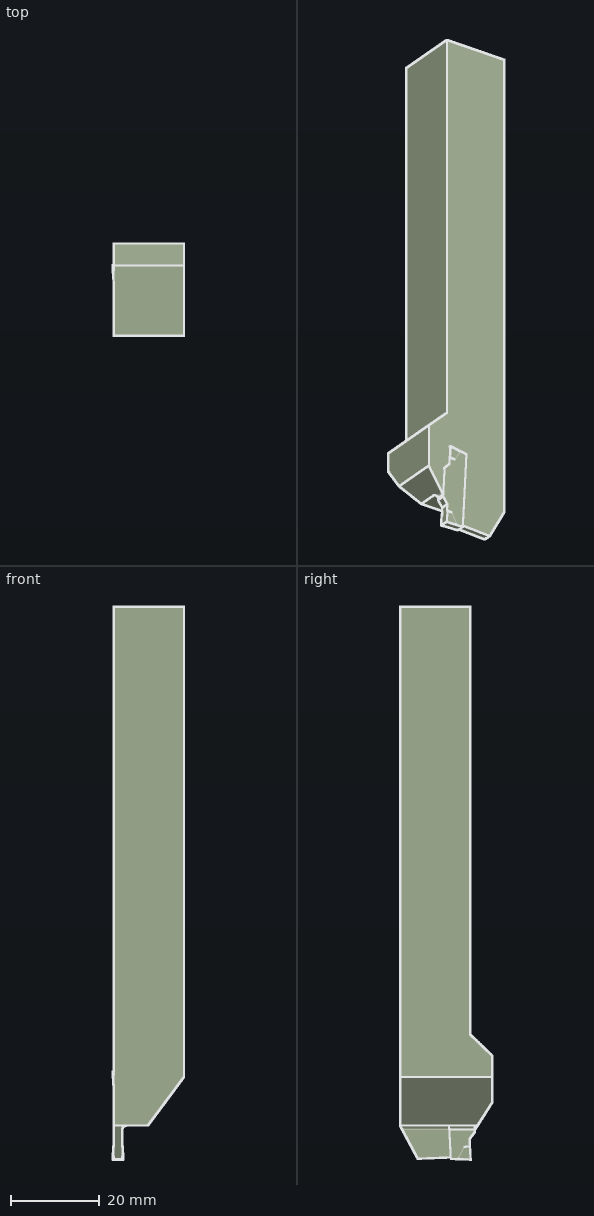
import cadquery as cq
import math

SHANK_SIZE = 15.92
TOTAL_LENGTH = 125.0
HEAD_DEPTH = 20.9
HEAD_SLOPE_TOP = 28.3
JAW_BACK_TOP = 23.5
JAW_BACK_BOTTOM = 13.0
JAW_TIP_Y = 17.2
JAW_TIP_Z = 7.2
SEAT_END_Y = 11.4
SEAT_END_Z = 0.5
FOOT_FRONT_Y = 4.0
FOOT_FRONT_Z = 0.2

BLADE_THICKNESS = 2.0
SHOULDER_Z = 7.7
SHOULDER_WIDTH = 7.75
SIDE_SLOPE_TOP = 18.7
BLADE_ROOT_RADIUS = 0.9

INSERT_TILT = 3.0
INSERT_TIP_Y = 16.0
INSERT_LENGTH = 20.0
INSERT_WIDTH = BLADE_THICKNESS
TIP_FLARE = 0.258
TIP_DEPTH = 4.5
CENTRE_RISE = 1.25
RAKE_LENGTH = 4.7
RISE_LENGTH = 1.5
END_CLEARANCE = 5.0
FLARE_LENGTH = 3.0
FLARE_DEPTH_FRONT = 3.0
FLARE_DEPTH_REAR = 1.3
TIP_CORNER_RADIUS = 0.2


def make_holder_blank():
    """Side outline of the holder across the full shank width, trimmed to leave the blade."""
    blank = (
        cq.Workplane("YZ")
        .moveTo(0, TOTAL_LENGTH)
        .lineTo(SHANK_SIZE, TOTAL_LENGTH)
        .lineTo(SHANK_SIZE, HEAD_SLOPE_TOP)
        .lineTo(HEAD_DEPTH, JAW_BACK_TOP)
        .lineTo(HEAD_DEPTH, JAW_BACK_BOTTOM)
        .lineTo(JAW_TIP_Y, JAW_TIP_Z)
        .lineTo(SEAT_END_Y, SEAT_END_Z)
        .lineTo(FOOT_FRONT_Y, FOOT_FRONT_Z)
        .lineTo(0, SHOULDER_Z)
        .close()
        .extrude(SHANK_SIZE)
    )
    root_end_x = BLADE_THICKNESS + BLADE_ROOT_RADIUS
    root_end_z = SHOULDER_Z - BLADE_ROOT_RADIUS
    front_outline = (
        cq.Workplane("XZ")
        .lineTo(BLADE_THICKNESS, 0)
        .lineTo(BLADE_THICKNESS, root_end_z)
        .radiusArc((root_end_x, SHOULDER_Z), BLADE_ROOT_RADIUS)
        .lineTo(SHOULDER_WIDTH, SHOULDER_Z)
        .lineTo(SHANK_SIZE, SIDE_SLOPE_TOP)
        .lineTo(SHANK_SIZE, TOTAL_LENGTH)
        .lineTo(0, TOTAL_LENGTH)
        .close()
        .extrude(-HEAD_DEPTH)
    )
    return blank.intersect(front_outline)


def make_tip_flare():
    """Wedge at the Z = 0 tip: widest at the cutting corner, tapering down and backward."""
    end_slope = math.tan(math.radians(END_CLEARANCE))
    rear_flare = TIP_FLARE * (FLARE_DEPTH_REAR / FLARE_DEPTH_FRONT)

    def section(flare, depth, height_at_rake, height_at_depth):
        points = [
            (-flare, 0, height_at_rake),
            (INSERT_WIDTH + flare, 0, height_at_rake),
            (INSERT_WIDTH, -depth, height_at_depth),
            (0, -depth, height_at_depth),
        ]
        return cq.Wire.makePolygon([cq.Vector(*p) for p in points], close=True)

    front = section(TIP_FLARE, FLARE_DEPTH_FRONT, 0, FLARE_DEPTH_FRONT * end_slope)
    rear = section(rear_flare, FLARE_DEPTH_REAR, FLARE_LENGTH, FLARE_LENGTH)
    flare = cq.Workplane(cq.Solid.makeLoft([front, rear], True))
    cutting_end = flare.faces("<Z")
    return flare.newObject(cutting_end.edges("<X or >X").vals()).fillet(TIP_CORNER_RADIUS)


def make_insert():
    """Insert built upright with its lower cutting edge at Y = Z = 0, then leaned into place."""
    end_relief = TIP_DEPTH * math.tan(math.radians(END_CLEARANCE))
    rise_end = RAKE_LENGTH + RISE_LENGTH
    insert = (
        cq.Workplane("YZ")
        .lineTo(0, RAKE_LENGTH)
        .lineTo(CENTRE_RISE, rise_end)
        .lineTo(CENTRE_RISE, INSERT_LENGTH - rise_end)
        .lineTo(0, INSERT_LENGTH - RAKE_LENGTH)
        .lineTo(0, INSERT_LENGTH)
        .lineTo(-TIP_DEPTH, INSERT_LENGTH - end_relief)
        .lineTo(-TIP_DEPTH, end_relief)
        .close()
        .extrude(INSERT_WIDTH)
    )
    lower_flare = make_tip_flare()
    upper_flare = lower_flare.mirror("XY", (0, 0, INSERT_LENGTH / 2))
    insert = insert.union(lower_flare).union(upper_flare)
    leaned = insert.rotate((0, 0, 0), (1, 0, 0), INSERT_TILT)
    return leaned.translate((0, INSERT_TIP_Y, 0))


insert = make_insert()
holder = make_holder_blank().cut(insert)

result = cq.Compound.makeCompound([holder.val(), insert.val()])